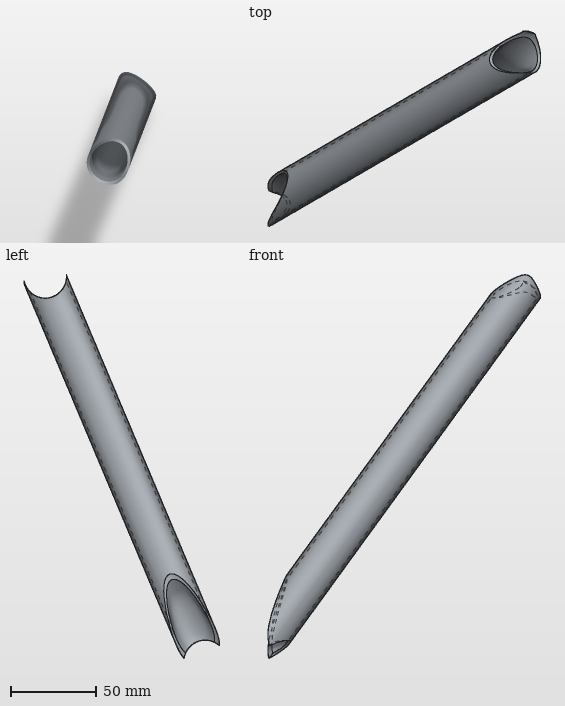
import cadquery as cq
import math

tube_diameter = 25.0
wall = 1.5
chord_diameter = 25.0
run = (164.0, 95.1, 225.7)
chord_offset = 0.56
brace_angle = 83.0
brace_radius = 15.0
cutter_length = 180.4

tube_radius = tube_diameter / 2
chord_radius = chord_diameter / 2
bottom_node = cq.Vector(0, 0, 0)
top_node = cq.Vector(*run)
along_chord = cq.Vector(1, 0, 0)
up_face = cq.Vector(0, run[1], run[2]).normalized()
face_normal = up_face.cross(along_chord)


def cylinder(start, direction, radius, length):
    return cq.Workplane(cq.Solid.makeCylinder(radius, length, start, direction))


def coping_cutter(centre, direction, radius):
    """Round member centred on a point, cut away from the tube end."""
    start = centre - direction * (cutter_length / 2)
    return cylinder(start, direction, radius, cutter_length)


tube_axis = top_node - bottom_node
outside = cylinder(bottom_node, tube_axis, tube_radius, tube_axis.Length)
bore = cylinder(bottom_node, tube_axis, tube_radius - wall, tube_axis.Length)
tube = outside.cut(bore)

for chord_centre in (
    bottom_node + face_normal * chord_offset,
    top_node - face_normal * chord_offset,
):
    tube = tube.cut(coping_cutter(chord_centre, along_chord, chord_radius))

angle = math.radians(brace_angle)
along_brace = along_chord * math.cos(angle) + up_face * math.sin(angle)
tube = tube.cut(coping_cutter(bottom_node, along_brace, brace_radius))

result = tube